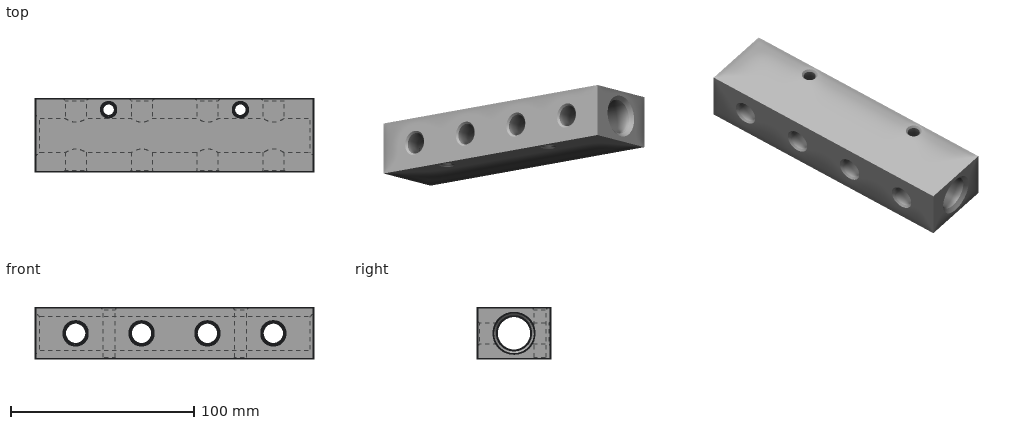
import cadquery as cq

length = 152.0
depth = 40.0
height = 28.0

gallery_diameter = 18.6
gallery_mouth_diameter = 22.6

port_diameter = 11.45
port_mouth_diameter = 13.5
port_count = 4
port_pitch = 36.0

mount_diameter = 6.6
mount_mouth_diameter = 8.6
mount_spacing = 2 * port_pitch
mount_edge_distance = 6.0


def countersunk_bore(diameter, mouth_diameter, span):
    """Cutter centred on the origin along Z, with a 45 degree countersink at each end."""
    radius = diameter / 2
    mouth_radius = mouth_diameter / 2
    end = span / 2
    sink_end = end - (mouth_radius - radius)
    half_section = [
        (0, -end),
        (mouth_radius, -end),
        (radius, -sink_end),
        (radius, sink_end),
        (mouth_radius, end),
        (0, end),
    ]
    return cq.Workplane("XZ").polyline(half_section).close().revolve(360, (0, 0), (0, 1))


def make_block():
    return cq.Workplane("XY").box(length, depth, height)


def cut_gallery(body):
    gallery = countersunk_bore(gallery_diameter, gallery_mouth_diameter, length)
    return body.cut(gallery.rotate((0, 0, 0), (0, 1, 0), 90))


def cut_ports(body):
    port = countersunk_bore(port_diameter, port_mouth_diameter, depth)
    port = port.rotate((0, 0, 0), (1, 0, 0), 90)
    first_port_x = -port_pitch * (port_count - 1) / 2
    for index in range(port_count):
        body = body.cut(port.translate((first_port_x + index * port_pitch, 0, 0)))
    return body


def cut_mounting_holes(body):
    hole = countersunk_bore(mount_diameter, mount_mouth_diameter, height)
    hole_y = depth / 2 - mount_edge_distance
    for hole_x in (-mount_spacing / 2, mount_spacing / 2):
        body = body.cut(hole.translate((hole_x, hole_y, 0)))
    return body


result = cut_mounting_holes(cut_ports(cut_gallery(make_block())))